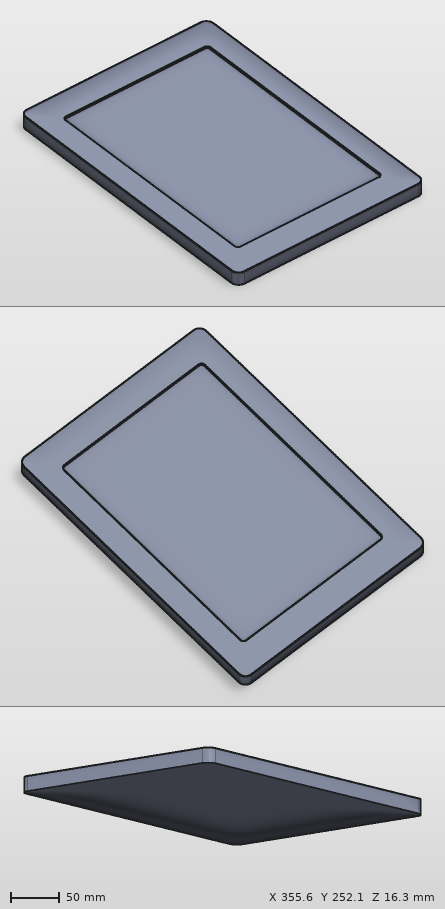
import cadquery as cq

plate_length = 355.6
plate_width = 252.12
plate_thickness = 16.31
plate_corner_radius = 9.525

recess_length = 284.48
recess_width = 193.675
recess_depth = 2.286
recess_corner_radius = 3.937

top_edge_chamfer = 0.508


def rounded_block(length, width, height, corner_radius):
    """Block centred in X and Y, standing on Z = 0, with rounded vertical edges."""
    block = cq.Workplane("XY").box(length, width, height, centered=(True, True, False))
    return block.edges("|Z").fillet(corner_radius)


def plate():
    return rounded_block(plate_length, plate_width, plate_thickness, plate_corner_radius)


def recess():
    pocket = rounded_block(recess_length, recess_width, recess_depth, recess_corner_radius)
    return pocket.translate((0, 0, plate_thickness - recess_depth))


def chamfer_top_edges(body):
    return body.faces(">Z").chamfer(top_edge_chamfer)


result = chamfer_top_edges(plate().cut(recess()))